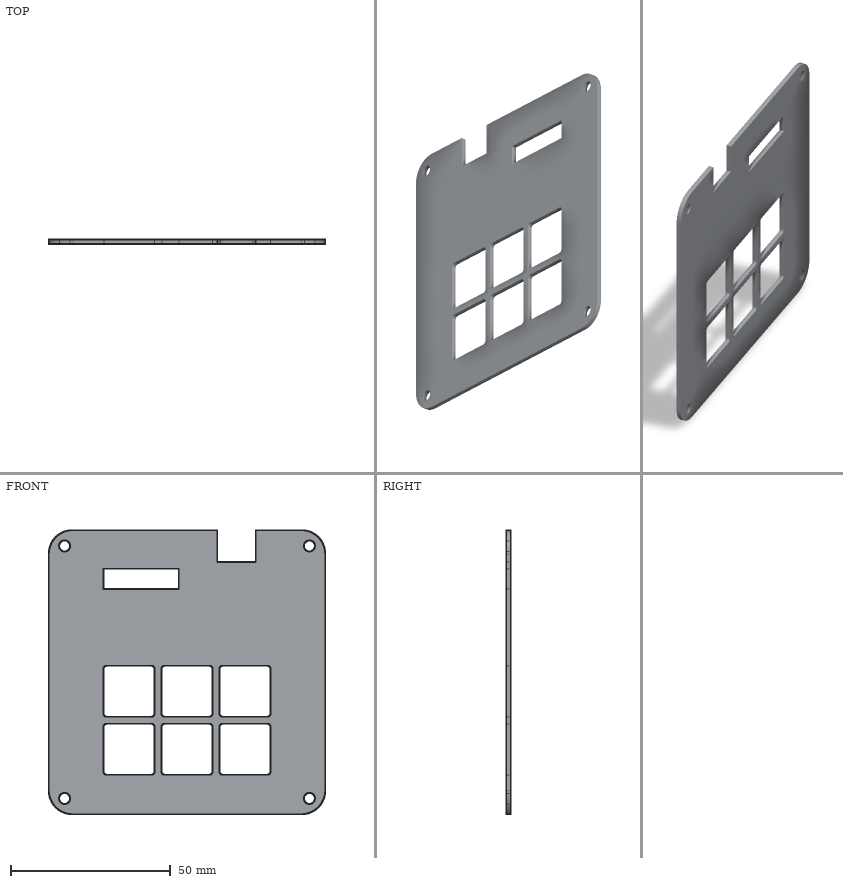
import cadquery as cq

plate_width = 86.65
plate_height = 89.1
plate_thickness = 1.5
plate_corner_radius = 7.5

hole_diameter = 3.4
hole_inset = 5.0

key_columns = 3
key_rows = 2
key_size = 15.9
key_pitch = 18.2
key_corner_radius = 1.0
key_grid_center_z = -15.05

window_width = 23.5
window_height = 6.2
window_center_z = 29.2
key_grid_width = (key_columns - 1) * key_pitch + key_size
window_center_x = (window_width - key_grid_width) / 2

notch_width = 11.9
notch_depth = 10.0
notch_center_x = 15.5

cutter_thickness = 2 * plate_thickness


def upright_block(width, height, thickness, center_x=0, center_z=0):
    """Block centred on Y = 0 with its width along X and height along Z."""
    return cq.Workplane("XY").box(width, thickness, height).translate((center_x, 0, center_z))


def rounded_plate():
    blank = upright_block(plate_width, plate_height, plate_thickness)
    return blank.edges("|Y").fillet(plate_corner_radius)


def mounting_holes():
    spacing_x = plate_width - 2 * hole_inset
    spacing_z = plate_height - 2 * hole_inset
    return (
        cq.Workplane("XZ")
        .rarray(spacing_x, spacing_z, 2, 2)
        .circle(hole_diameter / 2)
        .extrude(cutter_thickness / 2, both=True)
    )


def key_opening(column, row):
    center_x = (column - (key_columns - 1) / 2) * key_pitch
    center_z = key_grid_center_z + (row - (key_rows - 1) / 2) * key_pitch
    block = upright_block(key_size, key_size, cutter_thickness, center_x, center_z)
    return block.edges("|Y").fillet(key_corner_radius)


def display_window():
    return upright_block(window_width, window_height, cutter_thickness, window_center_x, window_center_z)


def top_notch():
    return upright_block(notch_width, 2 * notch_depth, cutter_thickness, notch_center_x, plate_height / 2)


result = rounded_plate().cut(mounting_holes()).cut(display_window()).cut(top_notch())
for column in range(key_columns):
    for row in range(key_rows):
        result = result.cut(key_opening(column, row))